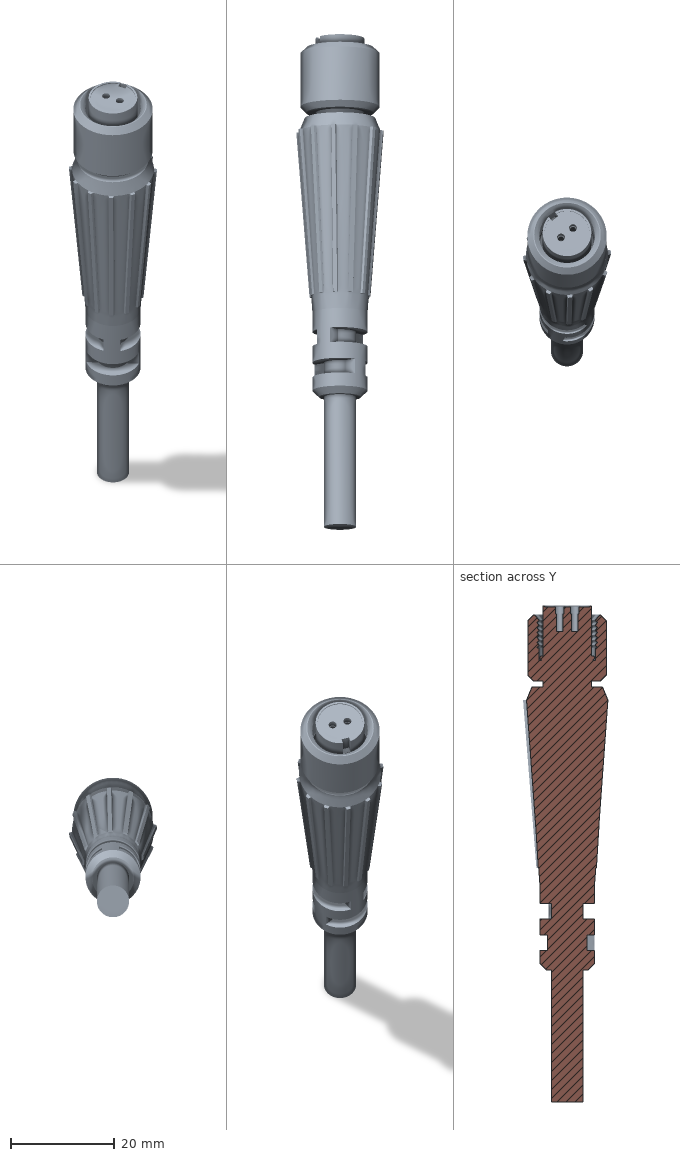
import cadquery as cq

total_height = 96.2
sleeve_bottom = 25.6
lower_slot_bottom = 29.4
upper_slot_bottom = 35.5
slot_height = 2.9
cone_bottom = 42.1
rib_bottom = 45.3
cone_top = 77.8
collar_top = 80.4
nut_bottom = 81.6
nut_top = 94.4

cable_diameter = 6.3
sleeve_diameter = 10.7
grip_top_diameter = 15.9
collar_top_diameter = 13.8
insert_diameter = 9.4
nut_diameter = 15.4

sleeve_chamfer = 1.25
nut_chamfer = 1.2

lead_in_diameter = 12.7
thread_major_diameter = 11.6
thread_minor_diameter = 10.8
thread_pitch = 1.0
thread_ring_count = 6
bore_bottom = 85.6

seal_outer_diameter = 10.7
seal_section_diameter = 0.9

rib_count = 12
rib_phase = -5.0
rib_base_width = 1.1
rib_tip_width = 0.8
rib_root_radius = 2.9
rib_top_diameter = 17.0
rib_bottom_diameter = 11.8

web_thickness = 3.3
upper_slot_angle = 25.0
lower_slot_angle = upper_slot_angle + 90.0

contact_diameter = 1.2
contact_rim_diameter = 1.5
contact_rim_depth = 1.4
contact_spacing = 3.0
contact_depth = 4.8
face_recess_diameter = 8.7
face_recess_depth = 0.2
key_width = 1.5
key_inner_distance = 3.7
key_depth = 3.8


def cylinder(diameter, bottom, top):
    return cq.Workplane("XY").workplane(offset=bottom).circle(diameter / 2).extrude(top - bottom)


def cone(bottom_diameter, top_diameter, bottom, top):
    half_profile = [
        (0, bottom),
        (bottom_diameter / 2, bottom),
        (top_diameter / 2, top),
        (0, top),
    ]
    return cq.Workplane("XZ").polyline(half_profile).close().revolve(360, (0, 0), (0, 1))


def make_grip():
    sleeve = cylinder(sleeve_diameter, sleeve_bottom, cone_bottom)
    sleeve = sleeve.faces("<Z").edges().chamfer(sleeve_chamfer)
    grip = cone(sleeve_diameter, grip_top_diameter, cone_bottom, cone_top)
    collar = cone(grip_top_diameter, collar_top_diameter, cone_top, collar_top)
    return sleeve.union(grip).union(collar)


def rib_section(grip_diameter, tip_diameter):
    """Cross-section of a rib along +X: straight up to the grip, then tapering to the tip."""
    grip_radius = grip_diameter / 2
    tip_radius = tip_diameter / 2
    return [
        (rib_root_radius, -rib_base_width / 2),
        (grip_radius, -rib_base_width / 2),
        (tip_radius, -rib_tip_width / 2),
        (tip_radius, rib_tip_width / 2),
        (grip_radius, rib_base_width / 2),
        (rib_root_radius, rib_base_width / 2),
    ]


def make_rib():
    rib_share_of_cone = (rib_bottom - cone_bottom) / (cone_top - cone_bottom)
    grip_diameter = sleeve_diameter + rib_share_of_cone * (grip_top_diameter - sleeve_diameter)
    return (
        cq.Workplane("XY")
        .workplane(offset=rib_bottom)
        .polyline(rib_section(grip_diameter, rib_bottom_diameter))
        .close()
        .workplane(offset=cone_top - rib_bottom)
        .polyline(rib_section(grip_top_diameter, rib_top_diameter))
        .close()
        .loft(ruled=True)
    )


def make_ribs():
    rib = make_rib()
    ribs = cq.Workplane("XY")
    for index in range(rib_count):
        angle = rib_phase + index * 360 / rib_count
        ribs = ribs.union(rib.rotate((0, 0, 0), (0, 0, 1), angle))
    return ribs


def slot_pair(bottom, angle):
    """Material on both sides of a flat web, outside the cable."""
    top = bottom + slot_height
    web = (
        cq.Workplane("XY")
        .workplane(offset=bottom)
        .rect(web_thickness, 2 * sleeve_diameter)
        .extrude(slot_height)
        .rotate((0, 0, 0), (0, 0, 1), angle)
    )
    ring = cylinder(2 * sleeve_diameter, bottom, top).cut(cylinder(cable_diameter, bottom, top))
    return ring.cut(web)


def make_nut():
    nut = cylinder(nut_diameter, nut_bottom, nut_top)
    nut = nut.faces("<Z or >Z").edges().chamfer(nut_chamfer)
    nut = nut.cut(cylinder(thread_minor_diameter, bore_bottom, nut_top))
    lead_in_bottom = nut_top - (lead_in_diameter - thread_major_diameter) / 2
    nut = nut.cut(cone(thread_major_diameter, lead_in_diameter, lead_in_bottom, nut_top))
    for index in range(thread_ring_count):
        ring_top = lead_in_bottom - index * thread_pitch
        ring_middle = ring_top - thread_pitch / 2
        ring_bottom = ring_top - thread_pitch
        nut = nut.cut(cone(thread_minor_diameter, thread_major_diameter, ring_middle, ring_top))
        nut = nut.cut(cone(thread_major_diameter, thread_minor_diameter, ring_bottom, ring_middle))
    return nut


def make_seal():
    section_radius = seal_section_diameter / 2
    section_center = seal_outer_diameter / 2 - section_radius
    return (
        cq.Workplane("XZ")
        .center(section_center, bore_bottom + section_radius)
        .circle(section_radius)
        .revolve(360, (-section_center, 0), (-section_center, 1))
    )


def make_insert():
    insert = cylinder(insert_diameter, collar_top, total_height)
    face_height = total_height - face_recess_depth
    insert = insert.cut(cylinder(face_recess_diameter, face_height, total_height))
    for x in (-contact_spacing / 2, contact_spacing / 2):
        hole = cylinder(contact_diameter, face_height - contact_depth, face_height)
        rim = cylinder(contact_rim_diameter, face_height - contact_rim_depth, face_height)
        insert = insert.cut(hole.union(rim).translate((x, 0, 0)))
    key_length = insert_diameter / 2
    key_slot = (
        cq.Workplane("XY")
        .workplane(offset=total_height - key_depth)
        .center(0, key_inner_distance + key_length / 2)
        .rect(key_width, key_length)
        .extrude(key_depth)
    )
    return insert.cut(key_slot)


body = make_grip().union(make_ribs())
body = body.cut(slot_pair(upper_slot_bottom, upper_slot_angle))
body = body.cut(slot_pair(lower_slot_bottom, lower_slot_angle))
body = body.union(cylinder(cable_diameter, 0, sleeve_bottom + sleeve_chamfer))
coupling = make_nut().cut(cylinder(insert_diameter, nut_bottom, nut_top))
result = body.union(coupling).union(make_seal()).union(make_insert())